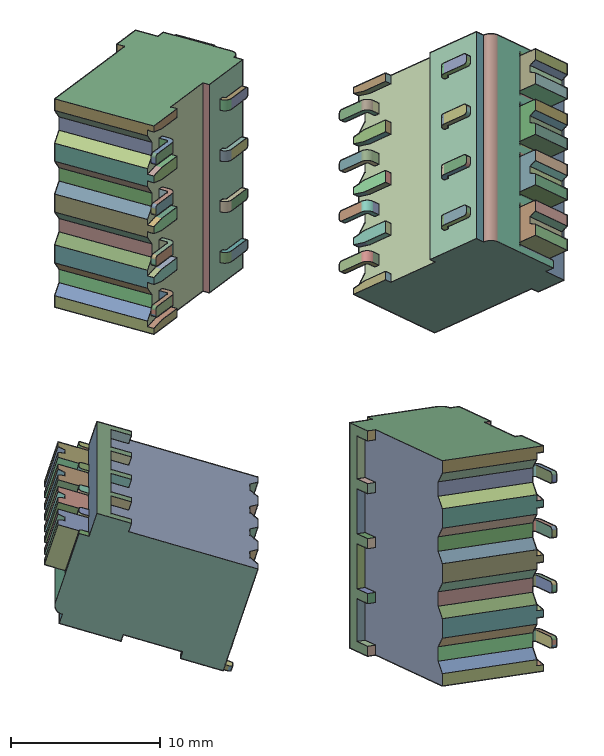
import cadquery as cq


pole_count = 4
pole_pitch = 3.81
housing_height = 15.63
half_height = housing_height / 2
pole_centers = [(i - (pole_count - 1) / 2) * pole_pitch for i in range(pole_count)]

wall_x = 0.63
housing_end_x = 8.4
housing_top_y = 11.5
mount_recess_depth = 0.5
mount_floor_x = housing_end_x - mount_recess_depth
mount_recess_y = (3.0, 7.16)

rim_bottom_y = 10.5
tab_bottom_y = 9.07
tab_height = 0.7

crown_x = (1.75, 7.7)
crown_top_y = 12.2
crown_corner_radius = 0.65
lever_gap = 0.05
notch_rounding = 0.25

lever_x = (1.88, 4.93)
lever_height = 2.66
lever_top_y = 13.63
lever_groove_depth = 0.5
lever_groove_mouth = 1.0
lever_groove_floor = 0.5

entry_mouth = 2.46
entry_floor = 1.0
entry_depth = 0.57

foot_slot_mouth = 3.3
foot_slot_inner = 2.91
foot_slot_taper_depth = 1.0

pin_thickness = 0.38
pin_width = 0.81
pin_end_x = 9.0
pin_length = 2.64
pin_bend_radius = 0.54
pin_tip_rounding = 0.24
pin_anchor = 0.5
lower_pin_tip_y = -0.75
upper_pin_tip_y = 11.16


def box(x_range, y_range, z_range):
    """Axis-aligned box between the given limits."""
    size = [high - low for low, high in (x_range, y_range, z_range)]
    corner = (x_range[0], y_range[0], z_range[0])
    return cq.Workplane("XY").box(*size, centered=False).translate(corner)


def extrude_along_x(points, x_start, x_end):
    """Prism with a YZ outline, running from x_start to x_end."""
    return cq.Workplane("YZ", origin=(x_start, 0, 0)).polyline(points).close().extrude(x_end - x_start)


def trapezoid_prism(x_range, y_mouth, y_floor, mouth, floor, z):
    """Prism along X, tapering from its mouth width to its floor width, centred on height z."""
    points = [
        (y_mouth, z - mouth / 2),
        (y_floor, z - floor / 2),
        (y_floor, z + floor / 2),
        (y_mouth, z + mouth / 2),
    ]
    return extrude_along_x(points, *x_range)


def make_housing():
    full_height = (-half_height, half_height)
    body = box((wall_x, housing_end_x), (0, housing_top_y), full_height)
    body = body.cut(box((mount_floor_x, housing_end_x), mount_recess_y, full_height))
    return body.union(box((0, wall_x), (rim_bottom_y, housing_top_y), full_height))


def make_tabs():
    """Tabs between neighbouring poles, and one flush with each end of the stack."""
    end_center = half_height - tab_height / 2
    middle_centers = [z + pole_pitch / 2 for z in pole_centers[:-1]]
    tabs = cq.Workplane("XY")
    for z in [-end_center, *middle_centers, end_center]:
        z_range = (z - tab_height / 2, z + tab_height / 2)
        tabs = tabs.union(box((0, wall_x), (tab_bottom_y, rim_bottom_y), z_range))
    return tabs


def make_crown():
    crown = box(crown_x, (housing_top_y, crown_top_y), (-half_height, half_height))
    crown = crown.edges("|Z and >X and >Y").fillet(crown_corner_radius)
    half_notch = lever_height / 2 + lever_gap
    for z in pole_centers:
        notch = box((crown_x[0], lever_x[1]), (housing_top_y, crown_top_y), (z - half_notch, z + half_notch))
        crown = crown.cut(notch)
    reach = 0.01
    for z in pole_centers:
        for side in (-1, 1):
            wall_z = z + side * half_notch
            edge_zone = cq.selectors.BoxSelector(
                (crown_x[0] - reach, crown_top_y - reach, wall_z - reach),
                (lever_x[1] + reach, crown_top_y + reach, wall_z + reach),
            )
            crown = crown.edges("|X").edges(edge_zone).fillet(notch_rounding)
    return crown


def make_lever(z):
    lever = box(lever_x, (housing_top_y, lever_top_y), (z - lever_height / 2, z + lever_height / 2))
    groove_floor_y = lever_top_y - lever_groove_depth
    groove = trapezoid_prism(lever_x, lever_top_y, groove_floor_y, lever_groove_mouth, lever_groove_floor, z)
    return lever.cut(groove)


def make_entry_groove(z):
    return trapezoid_prism((wall_x, housing_end_x), 0, entry_depth, entry_mouth, entry_floor, z)


def make_foot_slot(z):
    """Slot through the lower foot, flared where it opens on the wire-entry face."""
    x_range = (mount_floor_x, housing_end_x)
    half_inner = foot_slot_inner / 2
    slot = box(x_range, (0, mount_recess_y[0]), (z - half_inner, z + half_inner))
    flare = trapezoid_prism(x_range, 0, foot_slot_taper_depth, foot_slot_mouth, foot_slot_inner, z)
    return slot.union(flare)


def make_pin(z, tip_y, direction):
    """L-shaped pin leaving the +X side and turning along Y (direction is +1 or -1)."""
    start_x = mount_floor_x - pin_anchor
    heel_y = tip_y - direction * pin_length
    inner_y = heel_y + direction * pin_thickness
    inner_x = pin_end_x - pin_thickness
    bend_x = pin_end_x - pin_bend_radius
    bend_y = heel_y + direction * pin_bend_radius
    inner_radius = pin_bend_radius - pin_thickness
    diagonal = 0.5 ** 0.5
    outer_mid = (bend_x + pin_bend_radius * diagonal, bend_y - direction * pin_bend_radius * diagonal)
    inner_mid = (bend_x + inner_radius * diagonal, bend_y - direction * inner_radius * diagonal)
    pin = (
        cq.Workplane("XY", origin=(0, 0, z - pin_width / 2))
        .moveTo(start_x, heel_y)
        .lineTo(bend_x, heel_y)
        .threePointArc(outer_mid, (pin_end_x, bend_y))
        .lineTo(pin_end_x, tip_y)
        .lineTo(inner_x, tip_y)
        .lineTo(inner_x, bend_y)
        .threePointArc(inner_mid, (bend_x, inner_y))
        .lineTo(start_x, inner_y)
        .close()
        .extrude(pin_width)
    )
    tip_face = ">Y" if direction > 0 else "<Y"
    return pin.faces(tip_face).edges("|X").fillet(pin_tip_rounding)


def make_terminal_block():
    block = make_housing().union(make_tabs()).union(make_crown())
    for z in pole_centers:
        block = block.cut(make_entry_groove(z)).cut(make_foot_slot(z))
        block = block.union(make_lever(z))
        block = block.union(make_pin(z, lower_pin_tip_y, -1))
        block = block.union(make_pin(z, upper_pin_tip_y, 1))
    return block


result = make_terminal_block()